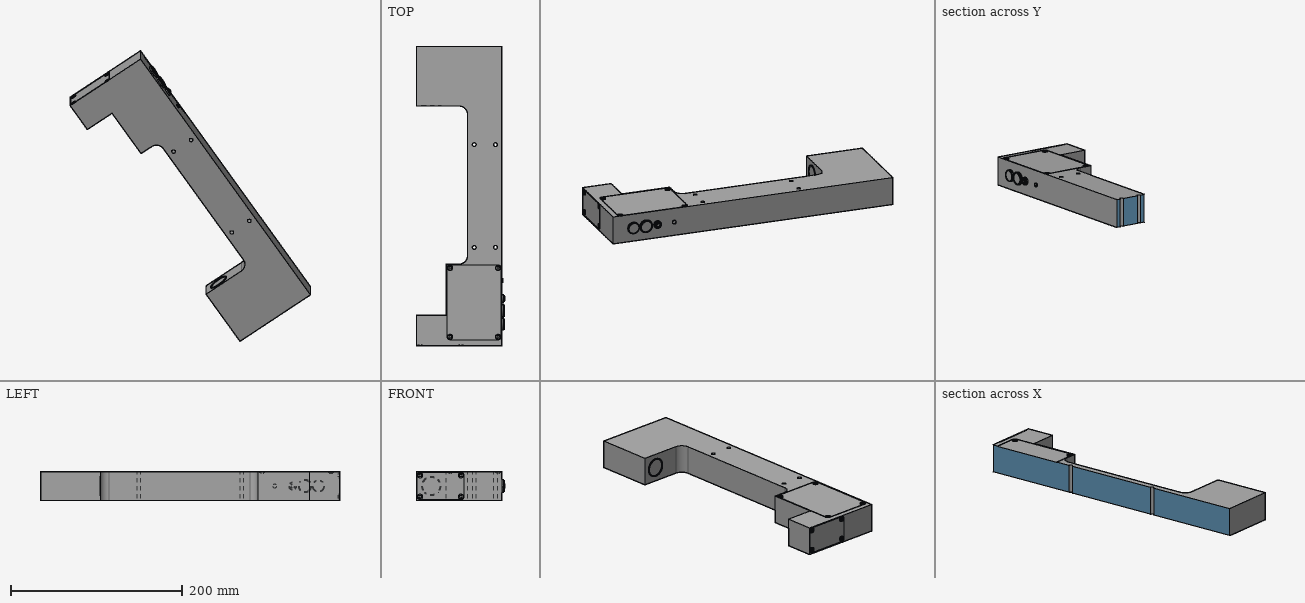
import cadquery as cq

length = 350.0
width = 100.0
height = 34.0
mid_height = height / 2

arm_left = 60.0
head_length = 70.0
foot_length = 35.7
housing_left = 35.0
housing_end = 95.5
inner_radius = 9.8
head_face = length - head_length

cover_drop = 0.5
cover_margin = 1.0
screw_inset = 3.5
cover_corner = screw_inset
top_cover_start = 7.0
top_cover_size = (width - housing_left - 2 * cover_margin, housing_end - cover_margin - top_cover_start)
end_cover_size = (54.5, height - 2 * cover_margin)

screw_head_diameter = 6.0
screw_head_depth = 1.0
socket_diameter = 3.0
socket_depth = 2.5

mount_diameter = 4.2
mount_spacing = (25.0, 120.0)
mount_center = (80.0, 175.0)

window_x = 17.5
window_outer = 22.5
window_inner = 20.3
window_depth = 0.7

pin_steps = [(4.5, 1.0)]
button_steps = [(9.0, 1.8), (7.5, 2.8), (4.2, 4.0)]
large_socket_steps = [(15.5, 1.8), (13.3, 2.8)]
small_socket_steps = [(14.0, 1.8), (12.5, 2.8)]
fittings = [
    (76.3, pin_steps),
    (55.3, button_steps),
    (41.0, large_socket_steps),
    (25.2, small_socket_steps),
]


def make_body():
    """Extrude the body outline, with the two inner corners of the arm rounded."""
    return (
        cq.Workplane("XY")
        .moveTo(0, 0)
        .lineTo(width, 0)
        .lineTo(width, length)
        .lineTo(0, length)
        .lineTo(0, head_face)
        .lineTo(arm_left - inner_radius, head_face)
        .radiusArc((arm_left, head_face - inner_radius), inner_radius)
        .lineTo(arm_left, housing_end + inner_radius)
        .radiusArc((arm_left - inner_radius, housing_end), inner_radius)
        .lineTo(housing_left, housing_end)
        .lineTo(housing_left, foot_length)
        .lineTo(0, foot_length)
        .close()
        .extrude(height)
    )


def cover_cuts(plane, size):
    """Recesses of a cover and its four corner screws, centred on an outward-facing plane."""
    outline = cq.Sketch().rect(*size).vertices().fillet(cover_corner)
    recess = cq.Workplane(plane).placeSketch(outline).extrude(-cover_drop)
    screw_spacing = [side - 2 * screw_inset for side in size]
    screws = cq.Workplane(plane).rect(*screw_spacing, forConstruction=True).vertices()
    heads = screws.circle(screw_head_diameter / 2).extrude(-screw_head_depth)
    sockets = screws.circle(socket_diameter / 2).extrude(-socket_depth)
    return recess.union(heads).union(sockets)


def mount_holes():
    """Four through holes in the arm."""
    return (
        cq.Workplane("XY")
        .center(*mount_center)
        .rect(*mount_spacing, forConstruction=True)
        .vertices()
        .circle(mount_diameter / 2)
        .extrude(height)
    )


def window_ring():
    """Annular groove in the head face that looks toward the foot."""
    return (
        cq.Workplane("XZ", origin=(window_x, head_face, mid_height))
        .circle(window_outer / 2)
        .circle(window_inner / 2)
        .extrude(-window_depth)
    )


def stepped_fitting(y, steps):
    """Round fitting on the +X side; steps are (diameter, distance its end stands out)."""
    side = cq.Workplane("YZ", origin=(width, y, mid_height))
    cylinders = [side.circle(diameter / 2).extrude(reach) for diameter, reach in steps]
    fitting = cylinders[0]
    for cylinder in cylinders[1:]:
        fitting = fitting.union(cylinder)
    return fitting


top_plane = cq.Plane(
    origin=((housing_left + width) / 2, top_cover_start + top_cover_size[1] / 2, height),
    xDir=(1, 0, 0),
    normal=(0, 0, 1),
)
end_plane = cq.Plane(
    origin=(cover_margin + end_cover_size[0] / 2, 0, mid_height),
    xDir=(1, 0, 0),
    normal=(0, -1, 0),
)

result = make_body()
result = result.cut(cover_cuts(top_plane, top_cover_size))
result = result.cut(cover_cuts(end_plane, end_cover_size))
result = result.cut(mount_holes())
result = result.cut(window_ring())
for fitting_y, fitting_steps in fittings:
    result = result.union(stepped_fitting(fitting_y, fitting_steps))